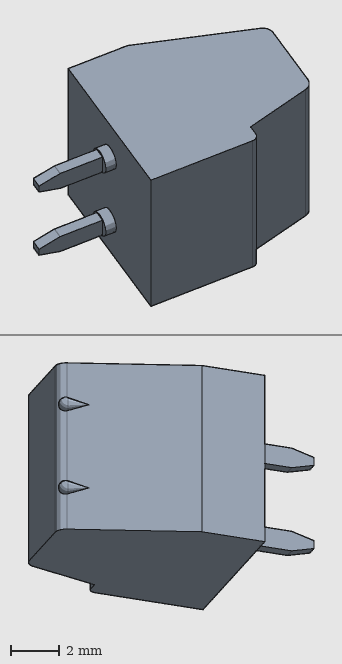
import cadquery as cq
import math

total_length = 12.0
body_width = 7.3
body_height = 7.62
pin_reach = 3.49
body_depth = total_length - pin_reach

pole_count = 2
pole_pitch = body_height / pole_count

left_wall_depth = 2.81
left_slope_angle = 18.0
shoulder_depth = 5.11
shoulder_inner_x = 6.55
right_slope_angle = 15.0
top_corner_radius = 0.5
shoulder_corner_radius = 0.3

pin_x = 3.7
collar_diameter = 1.1
collar_length = 0.49
pin_thickness = 0.5
pin_height = 0.9
pin_tip_height = 0.36
pin_taper_length = 1.0

bump_radius = 0.3


def left_slope_x(y):
    """X of the left slope at depth y."""
    return (y - left_wall_depth) * math.tan(math.radians(left_slope_angle))


def make_body():
    top_left_x = left_slope_x(body_depth)
    right_run = (body_depth - shoulder_depth) * math.tan(math.radians(right_slope_angle))
    top_right_x = shoulder_inner_x - right_run
    body = (
        cq.Workplane("XY")
        .polyline([
            (0, 0),
            (body_width, 0),
            (body_width, shoulder_depth),
            (shoulder_inner_x, shoulder_depth),
            (top_right_x, body_depth),
            (top_left_x, body_depth),
            (0, left_wall_depth),
        ])
        .close()
        .extrude(body_height)
    )
    top_corners = body.faces(">Y").edges("|Z")
    body = top_corners.fillet(top_corner_radius)
    shoulder_corner = body.faces(">X").edges("|Z and >Y")
    return shoulder_corner.fillet(shoulder_corner_radius)


def make_pin(z):
    """Round collar and flat pin tapering to a narrow tip, centred at height z."""
    collar = cq.Workplane(
        cq.Solid.makeCylinder(
            collar_diameter / 2, collar_length, cq.Vector(pin_x, 0, z), cq.Vector(0, -1, 0)
        )
    )
    half_height = pin_height / 2
    half_tip = pin_tip_height / 2
    taper_start = pin_taper_length - pin_reach
    blade = (
        cq.Workplane("YZ", origin=(pin_x, 0, z))
        .polyline([
            (0, half_height),
            (taper_start, half_height),
            (-pin_reach, half_tip),
            (-pin_reach, -half_tip),
            (taper_start, -half_height),
            (0, -half_height),
        ])
        .close()
        .extrude(pin_thickness / 2, both=True)
    )
    return collar.union(blade)


def make_bump(z):
    """Ball with a tangent cone tail along the left slope, level with the body top.

    The cone's half angle equals the slope angle, so its outermost line runs parallel to Y.
    """
    ball_y = body_depth - bump_radius
    half_angle = math.radians(left_slope_angle)
    tangent_point = (bump_radius * math.cos(half_angle), -bump_radius * math.sin(half_angle))
    teardrop = (
        cq.Workplane("XY")
        .moveTo(0, -bump_radius / math.sin(half_angle))
        .lineTo(*tangent_point)
        .threePointArc((bump_radius, 0), (0, bump_radius))
        .close()
        .revolve(360, (0, 0), (0, 1))
    )
    tilted = teardrop.rotate((0, 0, 0), (0, 0, 1), -left_slope_angle)
    return tilted.translate((left_slope_x(ball_y), ball_y, z))


result = make_body()
for pole in range(pole_count):
    pole_z = (pole + 0.5) * pole_pitch
    result = result.union(make_pin(pole_z)).union(make_bump(pole_z))